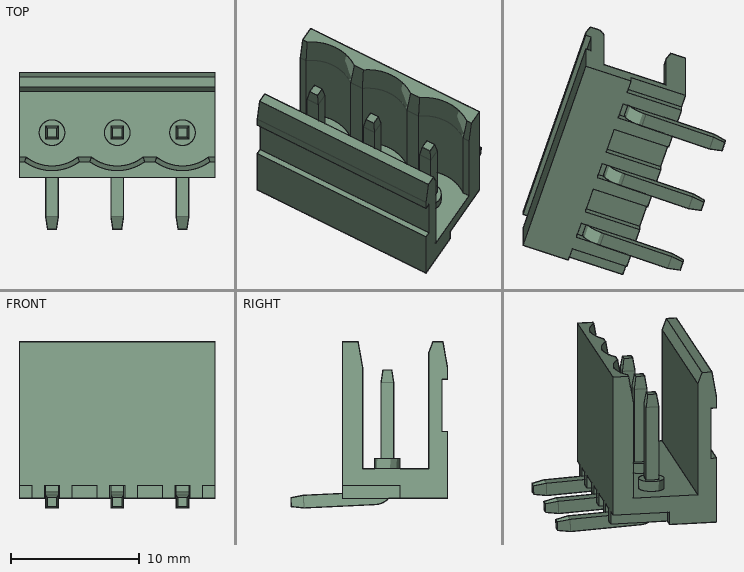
import cadquery as cq
import math


LENGTH = 15.24
DEPTH = 8.2
HEIGHT = 12.19
FLOOR_THICKNESS = 2.3
FRONT_WALL = 1.6
BACK_WALL = 1.5

BEVEL_HEIGHT = 2.07
BEVEL_WIDTH = 0.37
INNER_BEVEL_HEIGHT = 0.9
INNER_BEVEL_WIDTH = 0.34

GROOVE_BOTTOM = 5.2
GROOVE_TOP = 9.25
GROOVE_DEPTH = 0.44

PIN_COUNT = 3
PITCH = 5.07
PIN_Y = 3.5
PIN_SIZE = 1.0
PIN_TIP_SIZE = 0.7
PIN_TIP_LENGTH = 0.99
PIN_TOP = 9.98
BEND_RADIUS = PIN_SIZE
LEAD_SLOPE = 2.7
LEAD_REACH = 4.01
COLLAR_DIAMETER = 2.0
COLLAR_HEIGHT = 0.8

SCALLOP_RADIUS = 3.29
SCALLOP_DEPTH = 0.69

RECESS_HEIGHT = 1.0
RECESS_DEPTH = 4.48
PIN_SLOT_WIDTH = 1.19
FOOT_WIDTH = 0.98

pin_positions = [(i - (PIN_COUNT - 1) / 2) * PITCH for i in range(PIN_COUNT)]


def extrude_along_length(points):
    """Extrude a closed (Y, Z) outline over the full housing length."""
    return cq.Workplane("YZ").polyline(points).close().extrude(LENGTH / 2, both=True)


def make_front_wall():
    """Front wall with a bevelled inner top edge and scallops that flare with the bevel."""
    bevel_start = HEIGHT - BEVEL_HEIGHT
    wall = extrude_along_length([
        (0, 0),
        (FRONT_WALL, 0),
        (FRONT_WALL, bevel_start),
        (FRONT_WALL - BEVEL_WIDTH, HEIGHT),
        (0, HEIGHT),
    ])
    axis_y = FRONT_WALL - SCALLOP_DEPTH + SCALLOP_RADIUS
    flared_radius = SCALLOP_RADIUS + BEVEL_WIDTH
    cutter = (
        cq.Workplane("XZ")
        .moveTo(0, FLOOR_THICKNESS)
        .lineTo(SCALLOP_RADIUS, FLOOR_THICKNESS)
        .lineTo(SCALLOP_RADIUS, bevel_start)
        .lineTo(flared_radius, HEIGHT)
        .lineTo(0, HEIGHT)
        .close()
        .revolve(360, (0, 0), (0, 1))
    )
    for x in pin_positions:
        wall = wall.cut(cutter.translate((x, axis_y, 0)))
    return wall


def make_floor_and_back_wall():
    """L-shaped remainder of the housing, with the latch groove and bevelled top."""
    inner_y = DEPTH - BACK_WALL
    groove_y = DEPTH - GROOVE_DEPTH
    return extrude_along_length([
        (0, 0),
        (DEPTH, 0),
        (DEPTH, GROOVE_BOTTOM),
        (groove_y, GROOVE_BOTTOM),
        (groove_y, GROOVE_TOP),
        (DEPTH, GROOVE_TOP),
        (DEPTH, HEIGHT - BEVEL_HEIGHT),
        (DEPTH - BEVEL_WIDTH, HEIGHT),
        (inner_y + INNER_BEVEL_WIDTH, HEIGHT),
        (inner_y, HEIGHT - INNER_BEVEL_HEIGHT),
        (inner_y, FLOOR_THICKNESS),
        (0, FLOOR_THICKNESS),
    ])


def recess(x_start, x_end):
    """Block that opens the underside from the front face to the recess depth."""
    return cq.Workplane("XY").box(
        x_end - x_start, RECESS_DEPTH, RECESS_HEIGHT, centered=False
    ).translate((x_start, 0, 0))


def cut_recesses(body):
    """Cut a slot around each pin and a recess between neighbouring feet and at the ends."""
    foot_outer = PIN_SLOT_WIDTH / 2 + FOOT_WIDTH
    start = -LENGTH / 2
    for x in pin_positions:
        body = body.cut(recess(x - PIN_SLOT_WIDTH / 2, x + PIN_SLOT_WIDTH / 2))
        body = body.cut(recess(start, x - foot_outer))
        start = x + foot_outer
    return body.cut(recess(start, LENGTH / 2))


def square_leg(plane, length):
    """Square leg along the plane normal, ending in a tapered tip; length includes the tip."""
    shank_length = length - PIN_TIP_LENGTH
    shank = cq.Workplane(plane).rect(PIN_SIZE, PIN_SIZE).extrude(shank_length)
    tip = (
        cq.Workplane(plane)
        .workplane(offset=shank_length)
        .rect(PIN_SIZE, PIN_SIZE)
        .workplane(offset=PIN_TIP_LENGTH)
        .rect(PIN_TIP_SIZE, PIN_TIP_SIZE)
        .loft(ruled=True)
    )
    return shank.union(tip)


def make_pin():
    """Contact leg pointing up, a bend below the floor, and a lead sloping down to the front."""
    bend_z = RECESS_HEIGHT
    bend_angle = 90 - LEAD_SLOPE
    sine = math.sin(math.radians(bend_angle))
    cosine = math.cos(math.radians(bend_angle))

    contact_plane = cq.Plane(origin=(0, PIN_Y, bend_z), xDir=(1, 0, 0), normal=(0, 0, 1))
    contact = square_leg(contact_plane, PIN_TOP - bend_z)

    bend = (
        cq.Workplane(contact_plane)
        .rect(PIN_SIZE, PIN_SIZE)
        .revolve(bend_angle, (0, -BEND_RADIUS), (-1, -BEND_RADIUS))
    )

    lead_y = PIN_Y - BEND_RADIUS + BEND_RADIUS * cosine
    lead_z = bend_z - BEND_RADIUS * sine
    lead_plane = cq.Plane(
        origin=(0, lead_y, lead_z), xDir=(1, 0, 0), normal=(0, -sine, -cosine)
    )
    end_center_y = -LEAD_REACH + PIN_TIP_SIZE / 2 * cosine
    lead = square_leg(lead_plane, (lead_y - end_center_y) / sine)
    return contact.union(bend).union(lead)


def make_collar():
    """Round collar standing on the floor around a pin."""
    return (
        cq.Workplane("XY")
        .workplane(offset=FLOOR_THICKNESS)
        .center(0, PIN_Y)
        .circle(COLLAR_DIAMETER / 2)
        .extrude(COLLAR_HEIGHT)
    )


result = cut_recesses(make_front_wall().union(make_floor_and_back_wall()))
pin = make_pin()
collar = make_collar()
for pin_x in pin_positions:
    result = result.union(collar.translate((pin_x, 0, 0)))
    result = result.union(pin.translate((pin_x, 0, 0)))